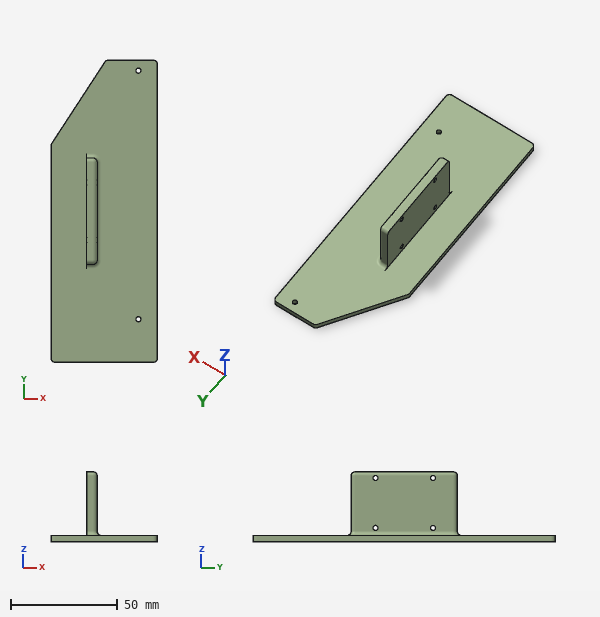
import cadquery as cq

plate_width = 50.0
plate_length = 142.0
thickness = 3.0
bevel_width = 25.8
bevel_length = 39.6
edge_radius = 2.0

wall_left = 16.8
wall_start = 46.0
wall_thickness = 5.0
wall_length = 50.0
overall_height = 33.0
wall_height = overall_height - thickness
wall_middle = wall_start + wall_length / 2

hole_diameter = 2.3
plate_hole_x = plate_width - 9.0
plate_hole_far_y = plate_length - 5.0
plate_hole_spacing = 116.7
wall_hole_spacing = 27.0
wall_hole_rise = 23.5
wall_hole_low_z = thickness + 3.5


def make_plate():
    """Rectangular plate with one large bevel and rounded corners."""
    outline = [
        (0, 0),
        (plate_width, 0),
        (plate_width, plate_length),
        (bevel_width, plate_length),
        (0, plate_length - bevel_length),
    ]
    plate = cq.Workplane("XY").polyline(outline).close().extrude(thickness)
    return plate.edges("|Z").fillet(edge_radius)


def make_wall():
    """Wall with rounded upper corners and a rounded rim on its +X face."""
    wall = cq.Workplane("XY").box(
        wall_thickness, wall_length, wall_height, centered=False
    )
    wall = wall.edges("|X and >Z").fillet(edge_radius)
    wall = wall.faces(">X").edges("not <Z").fillet(edge_radius)
    return wall.translate((wall_left, wall_start, thickness))


def fillet_wall_foot(body):
    """Concave fillet around the wall foot, leaving the -X face square to the plate."""
    margin = edge_radius / 2
    foot_edges = cq.selectors.BoxSelector(
        (wall_left + margin, wall_start - margin, thickness - margin),
        (
            wall_left + wall_thickness + margin,
            wall_start + wall_length + margin,
            thickness + margin,
        ),
    )
    return body.edges(foot_edges).fillet(edge_radius)


def drill_plate(body):
    """Two holes through the plate along its right side."""
    centers = [
        (plate_hole_x, plate_hole_far_y),
        (plate_hole_x, plate_hole_far_y - plate_hole_spacing),
    ]
    drills = cq.Workplane("XY").pushPoints(centers).circle(hole_diameter / 2).extrude(thickness)
    return body.cut(drills)


def drill_wall(body):
    """Four holes through the wall, centred along its length."""
    drills = (
        cq.Workplane("YZ", origin=(wall_left, wall_middle, wall_hole_low_z + wall_hole_rise / 2))
        .rarray(wall_hole_spacing, wall_hole_rise, 2, 2)
        .circle(hole_diameter / 2)
        .extrude(wall_thickness)
    )
    return body.cut(drills)


body = make_plate().union(make_wall())
body = fillet_wall_foot(body)
body = drill_plate(body)
result = drill_wall(body)